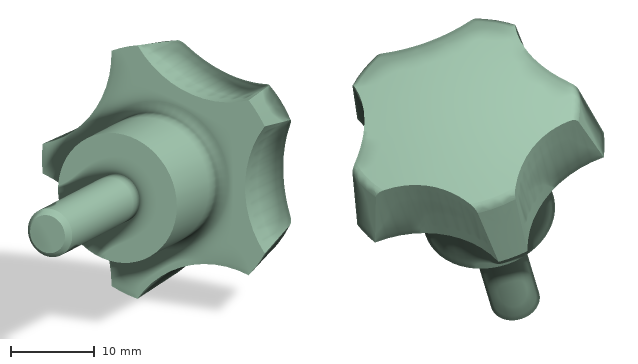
import cadquery as cq
import math

head_height = 11.13
hub_length = 11.2
total_length = 40.3
screw_length = total_length - head_height - hub_length

rim_radius = 16.0
rim_draft = 10.0
dome_radius = 50.0
dome_edge_fillet = 1.2

scallop_count = 5
scallop_radius = 13.0
scallop_center_distance = 24.27

hub_radius = 8.0
hub_fillet = 1.1
screw_radius = 3.0
screw_chamfer = 0.65


def make_head_blank():
    """Tapered disc with a spherical crown and a rounded crown edge."""
    taper = math.tan(math.radians(rim_draft))
    disc = (
        cq.Workplane("XZ")
        .circle(rim_radius)
        .extrude(-head_height, taper=rim_draft)
    )
    crown = cq.Workplane("XY").sphere(dome_radius).translate((0, head_height - dome_radius, 0))

    dome_center = head_height - dome_radius
    a = 1 + taper**2
    b = -2 * (rim_radius * taper + dome_center)
    c = rim_radius**2 + dome_center**2 - dome_radius**2
    edge_y = (-b + math.sqrt(b**2 - 4 * a * c)) / (2 * a)
    edge_radius = rim_radius - taper * edge_y

    blank = disc.intersect(crown)
    crown_edge = cq.selectors.BoxSelector(
        (-edge_radius - 0.4, edge_y - 0.4, -edge_radius - 0.4),
        (edge_radius + 0.4, edge_y + 0.4, edge_radius + 0.4),
        boundingbox=True,
    )
    return blank.edges(crown_edge).fillet(dome_edge_fillet)


def make_scallops():
    """Round cutters evenly spaced around the head, one centred on +X."""
    return (
        cq.Workplane("XZ")
        .polarArray(scallop_center_distance, 0, 360, scallop_count)
        .circle(scallop_radius)
        .extrude(-head_height)
    )


def make_hub():
    """Cylinder below the head, flaring into its underside with a concave fillet."""
    flare_radius = hub_radius + hub_fillet
    arc_offset = hub_fillet * (1 - math.sqrt(0.5))
    return (
        cq.Workplane("XY")
        .lineTo(flare_radius, 0)
        .threePointArc((hub_radius + arc_offset, -arc_offset), (hub_radius, -hub_fillet))
        .lineTo(hub_radius, -hub_length)
        .lineTo(0, -hub_length)
        .close()
        .revolve(360, (0, 0, 0), (0, 1, 0))
    )


def make_screw():
    """Plain shank with a chamfered tip."""
    return (
        cq.Workplane("XZ", origin=(0, -hub_length, 0))
        .circle(screw_radius)
        .extrude(screw_length)
        .faces("<Y")
        .chamfer(screw_chamfer)
    )


head = make_head_blank().cut(make_scallops())
result = head.union(make_hub()).union(make_screw())